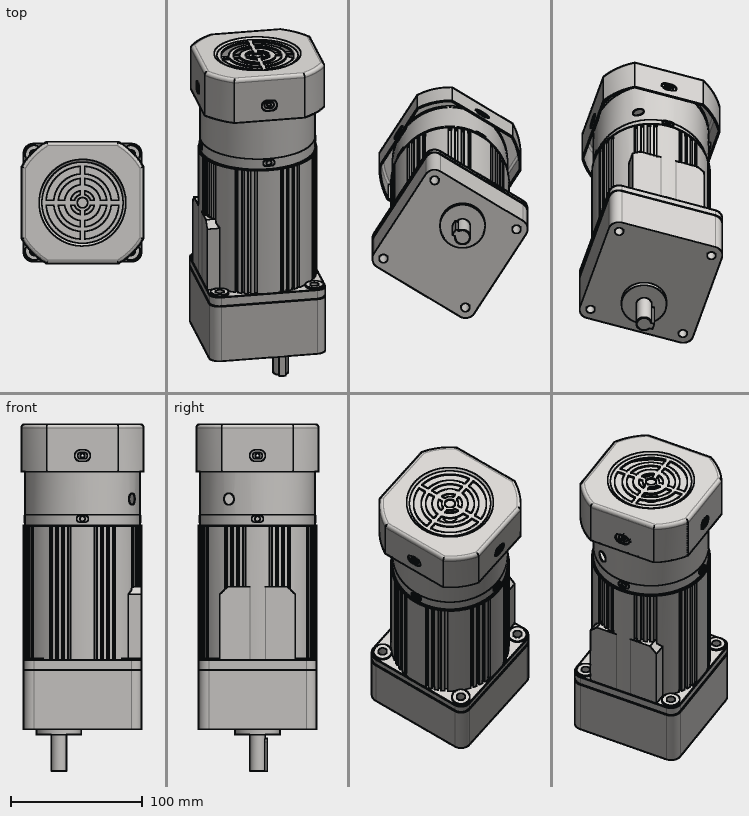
import cadquery as cq

TOTAL_HEIGHT = 264.0
PILOT_BOTTOM = 28.0
GEARBOX_BOTTOM = 32.0
FLANGE_BOTTOM = 77.4
FLANGE_TOP = 84.7
STATOR_TOP = 186.0
SLEEVE_RIM_TOP = 187.0
SPIGOT_TOP = 195.0
CAP_BOTTOM = 227.8
SLEEVE_TOP = 246.0

BOX_SIDE = 90.0
BOX_CORNER_RADIUS = 8.0
FLANGE_CHAMFER = 0.4
CASE_CHAMFER = 0.5
BOLT_SPACING = 73.5
BOLT_HOLE_DIAMETER = 6.5
PAD_DIAMETER = 13.7
PAD_HEIGHT = 1.3

SHAFT_OFFSET = -18.0
SHAFT_DIAMETER = 12.0
SHAFT_CHAMFER = 0.5
PILOT_DIAMETER = 34.3
KEY_WIDTH = 5.0
KEY_PROTRUSION = 1.5
KEY_TOP = 25.0
KEY_OUTER_FACE = SHAFT_DIAMETER / 2 + KEY_PROTRUSION

STATOR_DIAMETER = 90.0
GROOVE_GROUPS = 8
GROOVES_PER_GROUP = 4
GROOVE_PITCH_ANGLE = 360 / 56
GROOVE_WIDTH = 2.0
GROOVE_DEPTH = 2.0

TERMINAL_WIDTH = 57.0
TERMINAL_FACE = 44.5
TERMINAL_TOP = 140.2
TERMINAL_CHAMFER = 5.5

SLEEVE_DIAMETER = 87.6
SLEEVE_WALL = 0.5
BORE_DIAMETER = SLEEVE_DIAMETER - 2 * SLEEVE_WALL
END_PLATE_THICKNESS = 2.6
END_PLATE_OPENING = 10.5

CAP_SIDE = 93.0
CAP_CORNER_RADIUS = 53.9
CAP_EDGE_FILLET = 3.0
CAP_WALL = 1.0
SIDE_DIRECTIONS = 4

GRILLE_PAN_RADIUS = 34.5
GRILLE_RIM_RADIUS = 33.0
GRILLE_FLOOR_RADIUS = 31.0
GRILLE_RECESS = 1.3
GRILLE_RINGS = [(6.3, 9.2), (13.7, 18.5), (22.0, 27.7)]
GRILLE_SPOKE_WIDTH = 3.7
GRILLE_HUB_RADIUS = 4.0

SEAT_Z = 240.0
SEAT_LENGTH = 12.0
SEAT_WIDTH = 8.7
SEAT_DEPTH = 1.0
SLOT_LENGTH = 7.5
SLOT_WIDTH = 5.0
SLOT_DEPTH = 0.8
SCREW_HOLE_DIAMETER = 3.2
LUG_Z = 192.0
LUG_LENGTH = 9.0
LUG_WIDTH = 5.0
LUG_PROTRUSION = 0.5
LUG_HOLE_DIAMETER = 4.0
CABLE_HOLE_Z = 207.0
CABLE_HOLE_DIAMETER = 8.7
CABLE_HOLE_TURN = 60


def cylinder(diameter, bottom, top, x=0.0, y=0.0):
    return cq.Workplane("XY", origin=(x, y, bottom)).circle(diameter / 2).extrude(top - bottom)


def rounded_square(bottom, top):
    square = cq.Workplane("XY", origin=(0, 0, bottom)).rect(BOX_SIDE, BOX_SIDE).extrude(top - bottom)
    return square.edges("|Z").fillet(BOX_CORNER_RADIUS)


def bolt_circles(diameter, bottom, top):
    plane = cq.Workplane("XY", origin=(0, 0, bottom)).rect(BOLT_SPACING, BOLT_SPACING, forConstruction=True)
    return plane.vertices().circle(diameter / 2).extrude(top - bottom)


def side_stadium(length, width, z, inner, outer):
    """Upright stadium prism running outward along -Y between two distances from the axis."""
    plane = cq.Workplane("XZ", origin=(0, -inner, z))
    return plane.slot2D(length, width).extrude(outer - inner)


def side_hole(diameter, z):
    """Round hole running from the axis out through the -Y side."""
    return cq.Workplane("XZ", origin=(0, 0, z)).circle(diameter / 2).extrude(CAP_SIDE / 2)


def on_every_side(tool):
    """Copies of a -Y tool turned to face all four sides."""
    copies = cq.Workplane("XY")
    for side in range(SIDE_DIRECTIONS):
        copies = copies.add(tool.rotate((0, 0, 0), (0, 0, 1), side * 360 / SIDE_DIRECTIONS))
    return copies.combine()


def make_key():
    """Key on the +Y side of the shaft, square at the tip and round at the top."""
    round_centre = KEY_TOP - KEY_WIDTH / 2
    outline = (
        cq.Workplane("XZ", origin=(SHAFT_OFFSET, KEY_OUTER_FACE, 0))
        .moveTo(-KEY_WIDTH / 2, 0)
        .lineTo(KEY_WIDTH / 2, 0)
        .lineTo(KEY_WIDTH / 2, round_centre)
        .threePointArc((0, KEY_TOP), (-KEY_WIDTH / 2, round_centre))
        .close()
    )
    return outline.extrude(KEY_OUTER_FACE)


def make_gearbox():
    """Gearbox with its pilot and keyed output shaft."""
    case = rounded_square(GEARBOX_BOTTOM, FLANGE_BOTTOM).faces(">Z").chamfer(CASE_CHAMFER)
    case = case.cut(bolt_circles(BOLT_HOLE_DIAMETER, GEARBOX_BOTTOM, FLANGE_BOTTOM))
    pilot = cylinder(PILOT_DIAMETER, PILOT_BOTTOM, GEARBOX_BOTTOM, x=SHAFT_OFFSET)
    shaft = cylinder(SHAFT_DIAMETER, 0, PILOT_BOTTOM, x=SHAFT_OFFSET)
    shaft = shaft.faces("<Z").chamfer(SHAFT_CHAMFER)
    return case.union(pilot).union(shaft).union(make_key())


def groove_angles():
    group_step = 360 / GROOVE_GROUPS
    for group in range(GROOVE_GROUPS):
        group_centre = (group + 0.5) * group_step
        for groove in range(GROOVES_PER_GROUP):
            yield group_centre + (groove - (GROOVES_PER_GROUP - 1) / 2) * GROOVE_PITCH_ANGLE


def make_stator():
    stator = cylinder(STATOR_DIAMETER, FLANGE_TOP, STATOR_TOP)
    groove = cq.Workplane("XY").box(
        2 * GROOVE_DEPTH, GROOVE_WIDTH, STATOR_TOP - FLANGE_TOP, centered=(True, True, False)
    )
    groove = groove.translate((STATOR_DIAMETER / 2, 0, FLANGE_TOP))
    grooves = cq.Workplane("XY")
    for angle in groove_angles():
        grooves = grooves.add(groove.rotate((0, 0, 0), (0, 0, 1), angle))
    return stator.cut(grooves.combine())


def make_terminal_housing():
    height = TERMINAL_TOP - FLANGE_TOP
    housing = cq.Workplane("XY").box(TERMINAL_FACE, TERMINAL_WIDTH, height, centered=(False, True, False))
    housing = housing.translate((0, 0, FLANGE_TOP))
    return housing.faces(">Z").edges("|X").chamfer(TERMINAL_CHAMFER)


def make_motor():
    """Motor body: flange, finned stator, terminal housing and the spigot that carries the sleeve."""
    flange = rounded_square(FLANGE_BOTTOM, FLANGE_TOP).faces(">Z").chamfer(FLANGE_CHAMFER)
    motor = flange.union(bolt_circles(PAD_DIAMETER, FLANGE_TOP - PAD_HEIGHT, FLANGE_TOP + PAD_HEIGHT))
    motor = motor.union(make_stator()).union(make_terminal_housing())
    motor = motor.union(cylinder(BORE_DIAMETER, STATOR_TOP, SPIGOT_TOP))
    return motor.cut(bolt_circles(BOLT_HOLE_DIAMETER, FLANGE_BOTTOM, FLANGE_TOP + PAD_HEIGHT))


def cap_block(inset):
    """Square block with arched corners and a rounded top, drawn in by the inset on its sides and top."""
    side = CAP_SIDE - 2 * inset
    top = TOTAL_HEIGHT - inset
    square = cq.Workplane("XY", origin=(0, 0, CAP_BOTTOM)).rect(side, side).extrude(top - CAP_BOTTOM)
    block = square.intersect(cylinder(2 * (CAP_CORNER_RADIUS - inset), CAP_BOTTOM, top))
    return block.faces(">Z").edges().fillet(CAP_EDGE_FILLET - inset)


def grille_recess():
    floor = TOTAL_HEIGHT - GRILLE_RECESS
    profile = (
        cq.Workplane("XZ")
        .moveTo(0, floor)
        .lineTo(GRILLE_FLOOR_RADIUS, floor)
        .lineTo(GRILLE_RIM_RADIUS, TOTAL_HEIGHT)
        .lineTo(0, TOTAL_HEIGHT)
        .close()
    )
    return profile.revolve(360, (0, 0, 0), (0, 1, 0))


def grille_slots():
    """Ring slots split by a cross of spokes, with a round hub opening."""
    top = TOTAL_HEIGHT - GRILLE_RECESS
    bottom = top - CAP_WALL
    plane = cq.Workplane("XY", origin=(0, 0, bottom))
    spoke = plane.rect(CAP_SIDE, GRILLE_SPOKE_WIDTH).extrude(CAP_WALL)
    spokes = spoke.union(spoke.rotate((0, 0, 0), (0, 0, 1), 90))
    slots = cylinder(2 * GRILLE_HUB_RADIUS, bottom, top)
    for inner_radius, outer_radius in GRILLE_RINGS:
        ring = plane.circle(outer_radius).circle(inner_radius).extrude(CAP_WALL)
        slots = slots.union(ring.cut(spokes))
    return slots


def make_cap():
    """Thin-walled cap with a sunken grille and, on each side, a screw seat that reaches the sleeve."""
    cap = cap_block(0).cut(cap_block(CAP_WALL))
    pan_bottom = TOTAL_HEIGHT - GRILLE_RECESS - CAP_WALL
    cap = cap.union(cylinder(2 * GRILLE_PAN_RADIUS, pan_bottom, TOTAL_HEIGHT - CAP_WALL / 2))
    cap = cap.cut(grille_recess()).cut(grille_slots())

    cap_face = CAP_SIDE / 2
    seat_floor = cap_face - SEAT_DEPTH
    backing_length = SEAT_LENGTH + 2 * CAP_WALL
    backing_width = SEAT_WIDTH + 2 * CAP_WALL
    backing = side_stadium(backing_length, backing_width, SEAT_Z, BORE_DIAMETER / 2, seat_floor)
    cap = cap.union(on_every_side(backing)).cut(cylinder(SLEEVE_DIAMETER, CAP_BOTTOM, SLEEVE_TOP))

    seat = side_stadium(SEAT_LENGTH, SEAT_WIDTH, SEAT_Z, seat_floor, cap_face)
    slot = side_stadium(SLOT_LENGTH, SLOT_WIDTH, SEAT_Z, seat_floor - SLOT_DEPTH, seat_floor)
    for tool in (seat, slot, side_hole(SCREW_HOLE_DIAMETER, SEAT_Z)):
        cap = cap.cut(on_every_side(tool))
    return cap


def make_sleeve():
    """Round sleeve with screw lugs, an end plate, screw holes for the cap and a cable hole."""
    sleeve = cylinder(SLEEVE_DIAMETER, STATOR_TOP, SLEEVE_TOP)
    sleeve = sleeve.union(cylinder(STATOR_DIAMETER, STATOR_TOP, SLEEVE_RIM_TOP))
    lug_face = SLEEVE_DIAMETER / 2 + LUG_PROTRUSION
    lug = side_stadium(LUG_LENGTH, LUG_WIDTH, LUG_Z, 0, lug_face)
    sleeve = sleeve.union(on_every_side(lug))
    sleeve = sleeve.cut(cylinder(BORE_DIAMETER, STATOR_TOP, SLEEVE_TOP - END_PLATE_THICKNESS))
    sleeve = sleeve.cut(cylinder(END_PLATE_OPENING, SLEEVE_TOP - END_PLATE_THICKNESS, SLEEVE_TOP))
    sleeve = sleeve.cut(on_every_side(side_hole(SCREW_HOLE_DIAMETER, SEAT_Z)))
    sleeve = sleeve.cut(on_every_side(side_hole(LUG_HOLE_DIAMETER, LUG_Z)))
    cable_hole = side_hole(CABLE_HOLE_DIAMETER, CABLE_HOLE_Z)
    return sleeve.cut(cable_hole.rotate((0, 0, 0), (0, 0, 1), CABLE_HOLE_TURN))


gearbox = make_gearbox()
motor = make_motor()
sleeve = make_sleeve()
cap = make_cap()

result = cq.Compound.makeCompound([gearbox.val(), motor.val(), sleeve.val(), cap.val()])